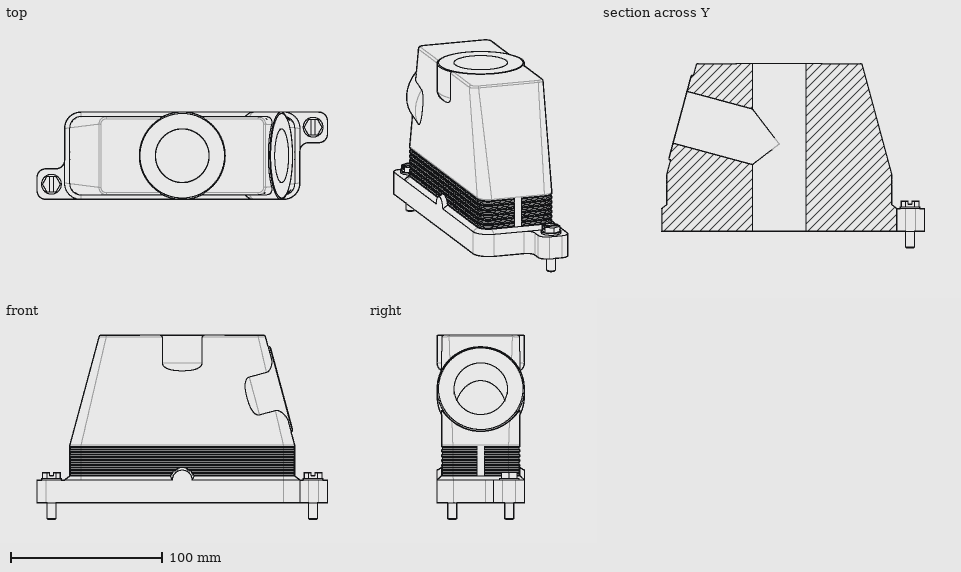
import cadquery as cq
import math

FLANGE_LENGTH = 156.0
FLANGE_WIDTH = 58.0
FLANGE_HEIGHT = 15.2
FLANGE_CORNER = 11.0
LUG_TIP_X = 96.2
LUG_WIDTH = 20.5
LUG_CORNER = 6.0
LUG_INNER_RADIUS = 5.5

SKIRT_LENGTH = 149.0
SKIRT_WIDTH = 52.0
SKIRT_CORNER = 7.5
SKIRT_BOTTOM = 17.9
SKIRT_TOP = 38.3
HOOD_TOP = 111.0
HOOD_TOP_LENGTH = 109.7
HOOD_TOP_WIDTH = 51.5
HOOD_TOP_CORNER = 4.8
HOOD_TOP_ROUND = 1.3

GROOVE_COUNT = 6
GROOVE_PITCH = 3.3
GROOVE_DEPTH = 0.5
GROOVE_OPENING = 2.5
GROOVE_FLOOR = 1.0
TOP_GROOVE_Z = 36.2
END_STRIP_WIDTH = 5.0

BUMP_FACE_RADIUS = 6.5
BUMP_SKIRT_RADIUS = 8.3

BOSS_RADIUS = FLANGE_WIDTH / 2
BOSS_LENGTH = 24.5
BOSS_END_ROUND = 5.8
BOSS_BEVEL_WIDTH = 1.0
BOSS_BEVEL_DEPTH = 0.4
BORE_RADIUS = 17.7
TOP_BOSS_RISE = 0.2
SIDE_BOSS_RISE = 1.3
SIDE_BOSS_Z = 75.7

SCREW_X = 86.6
SCREW_Y = 18.9
SCREW_RADIUS = 3.0
SCREW_TIP_Z = -11.0
SCREW_TIP_CHAMFER = 0.8
WASHER_RADIUS = 6.5
WASHER_THICKNESS = 1.2
HEX_SIDES = 6
HEX_CORNERS = 12.0
HEAD_HEIGHT = 4.8
SLOT_WIDTH = 2.5
SLOT_DEPTH = 2.0

END_SLOPE = math.atan((SKIRT_LENGTH - HOOD_TOP_LENGTH) / 2 / (HOOD_TOP - SKIRT_TOP))
SCREW_PLACES = [(-SCREW_X, -SCREW_Y), (SCREW_X, SCREW_Y)]

SIDE_AXIS = (math.cos(END_SLOPE), 0, math.sin(END_SLOPE))
SIDE_FACE_X = (
    SKIRT_LENGTH / 2
    - (SIDE_BOSS_Z - SKIRT_TOP) * math.tan(END_SLOPE)
    + SIDE_BOSS_RISE / math.cos(END_SLOPE)
)
SIDE_BORE_DEPTH = SIDE_FACE_X / math.cos(END_SLOPE)


def rounded_rectangle(length, width, radius):
    return cq.Sketch().rect(length, width).vertices().fillet(radius)


def rounded_block(length, width, radius, bottom, top):
    sketch = rounded_rectangle(length, width, radius)
    return cq.Workplane("XY").workplane(offset=bottom).placeSketch(sketch).extrude(top - bottom)


def rounded_taper(lower, upper, bottom, top):
    """Loft between two rounded rectangles given as (length, width, corner radius)."""
    lower_sketch = rounded_rectangle(*lower)
    upper_sketch = rounded_rectangle(*upper).moved(cq.Location(cq.Vector(0, 0, top - bottom)))
    return cq.Workplane("XY").workplane(offset=bottom).placeSketch(lower_sketch, upper_sketch).loft()


def lug():
    """Lug at the -X, -Y corner, running under the flange to its rounded corner."""
    outer_y = -FLANGE_WIDTH / 2
    inner_y = outer_y + LUG_WIDTH
    end_x = -FLANGE_LENGTH / 2
    root_x = end_x + FLANGE_CORNER
    return (
        cq.Workplane("XY")
        .moveTo(root_x, outer_y)
        .lineTo(-LUG_TIP_X + LUG_CORNER, outer_y)
        .radiusArc((-LUG_TIP_X, outer_y + LUG_CORNER), LUG_CORNER)
        .lineTo(-LUG_TIP_X, inner_y - LUG_CORNER)
        .radiusArc((-LUG_TIP_X + LUG_CORNER, inner_y), LUG_CORNER)
        .lineTo(end_x - LUG_INNER_RADIUS, inner_y)
        .radiusArc((end_x, inner_y + LUG_INNER_RADIUS), -LUG_INNER_RADIUS)
        .lineTo(root_x, inner_y + LUG_INNER_RADIUS)
        .close()
        .extrude(FLANGE_HEIGHT)
    )


def base():
    flange = rounded_block(FLANGE_LENGTH, FLANGE_WIDTH, FLANGE_CORNER, 0, FLANGE_HEIGHT)
    first_lug = lug()
    second_lug = first_lug.rotate((0, 0, 0), (0, 0, 1), 180)
    return flange.union(first_lug).union(second_lug)


def skirt_foot():
    """Sloping shoulder from the flange edge in to the skirt."""
    return rounded_taper(
        (FLANGE_LENGTH, FLANGE_WIDTH, FLANGE_CORNER),
        (SKIRT_LENGTH, SKIRT_WIDTH, SKIRT_CORNER),
        FLANGE_HEIGHT,
        SKIRT_BOTTOM,
    )


def groove(center_z):
    """Ring with a trapezoid section, wide at the skirt surface and narrow at its floor."""
    inner = (
        SKIRT_LENGTH - 2 * GROOVE_DEPTH,
        SKIRT_WIDTH - 2 * GROOVE_DEPTH,
        SKIRT_CORNER - GROOVE_DEPTH,
    )
    outer = (SKIRT_LENGTH, SKIRT_WIDTH, SKIRT_CORNER)
    low = center_z - GROOVE_OPENING / 2
    high = center_z + GROOVE_OPENING / 2
    floor_low = center_z - GROOVE_FLOOR / 2
    floor_high = center_z + GROOVE_FLOOR / 2
    core = (
        rounded_taper(outer, inner, low, floor_low)
        .union(rounded_block(*inner, floor_low, floor_high))
        .union(rounded_taper(inner, outer, floor_high, high))
    )
    strips = cq.Workplane("XY").box(SKIRT_LENGTH, END_STRIP_WIDTH, GROOVE_OPENING)
    return rounded_block(*outer, low, high).cut(core).cut(strips.translate((0, 0, center_z)))


def grooved_skirt():
    skirt = rounded_block(SKIRT_LENGTH, SKIRT_WIDTH, SKIRT_CORNER, SKIRT_BOTTOM, SKIRT_TOP)
    for index in range(GROOVE_COUNT):
        skirt = skirt.cut(groove(TOP_GROOVE_Z - index * GROOVE_PITCH))
    return skirt


def hood_shell():
    shell = rounded_taper(
        (SKIRT_LENGTH, SKIRT_WIDTH, SKIRT_CORNER),
        (HOOD_TOP_LENGTH, HOOD_TOP_WIDTH, HOOD_TOP_CORNER),
        SKIRT_TOP,
        HOOD_TOP,
    )
    return shell.faces(">Z").edges().fillet(HOOD_TOP_ROUND)


def side_bump(side):
    """Cone frustum across the shoulder on the long side facing -Y (side = -1) or +Y (side = 1)."""
    bump = cq.Solid.makeCone(
        BUMP_FACE_RADIUS,
        BUMP_SKIRT_RADIUS,
        (FLANGE_WIDTH - SKIRT_WIDTH) / 2,
        pnt=cq.Vector(0, side * FLANGE_WIDTH / 2, FLANGE_HEIGHT),
        dir=cq.Vector(0, -side, 0),
    )
    return cq.Workplane(bump)


def boss(face):
    """Boss whose outer face lies on the given plane, extending inwards."""
    face_radius = BOSS_RADIUS - BOSS_BEVEL_WIDTH
    profile = (
        cq.Workplane("XZ")
        .lineTo(face_radius, 0)
        .lineTo(BOSS_RADIUS, -BOSS_BEVEL_DEPTH)
        .lineTo(BOSS_RADIUS, BOSS_END_ROUND - BOSS_LENGTH)
        .radiusArc((BOSS_RADIUS - BOSS_END_ROUND, -BOSS_LENGTH), BOSS_END_ROUND)
        .lineTo(0, -BOSS_LENGTH)
        .close()
    )
    upright_boss = profile.revolve(360, (0, 0, 0), (0, 1, 0)).val()
    return cq.Workplane(upright_boss.moved(cq.Location(face)))


def bore(face, depth):
    return cq.Workplane(face).circle(BORE_RADIUS).extrude(-depth)


def make_housing():
    boss_top = HOOD_TOP + TOP_BOSS_RISE
    top_face = cq.Plane(origin=(0, 0, boss_top))
    side_face = cq.Plane(origin=(SIDE_FACE_X, 0, SIDE_BOSS_Z), xDir=(0, 1, 0), normal=SIDE_AXIS)
    screw_holes = cq.Workplane("XY").pushPoints(SCREW_PLACES).circle(SCREW_RADIUS).extrude(FLANGE_HEIGHT)
    return (
        base()
        .union(skirt_foot())
        .union(grooved_skirt())
        .union(hood_shell())
        .union(side_bump(-1))
        .union(side_bump(1))
        .union(boss(top_face))
        .union(boss(side_face))
        .cut(bore(top_face, boss_top))
        .cut(bore(side_face, SIDE_BORE_DEPTH))
        .cut(screw_holes)
    )


def make_screw(x, y):
    """Slotted hexagon-head screw seated on top of a lug."""
    seat = cq.Workplane("XY").workplane(offset=FLANGE_HEIGHT)
    shank = (
        cq.Workplane("XY")
        .workplane(offset=SCREW_TIP_Z)
        .circle(SCREW_RADIUS)
        .extrude(FLANGE_HEIGHT - SCREW_TIP_Z)
        .faces("<Z")
        .chamfer(SCREW_TIP_CHAMFER)
    )
    washer = seat.circle(WASHER_RADIUS).extrude(WASHER_THICKNESS)
    head = seat.polygon(HEX_SIDES, HEX_CORNERS).extrude(HEAD_HEIGHT)
    slot = (
        seat.workplane(offset=HEAD_HEIGHT - SLOT_DEPTH)
        .rect(SLOT_WIDTH, HEX_CORNERS)
        .extrude(SLOT_DEPTH)
    )
    return shank.union(washer).union(head).cut(slot).translate((x, y, 0))


housing = make_housing()
screws = [make_screw(x, y) for x, y in SCREW_PLACES]

result = cq.Compound.makeCompound([housing.val(), *[screw.val() for screw in screws]])